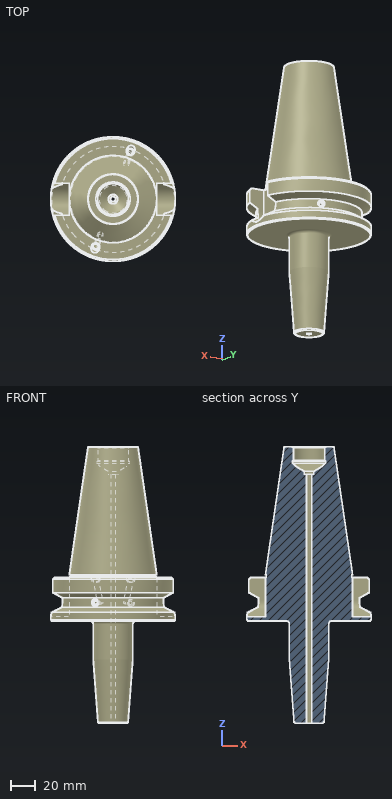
import cadquery as cq
import math


TOTAL_LENGTH = 221.8
TAPER_LENGTH = 101.8
GAUGE_RADIUS = 35.0
TAPER_RATIO = 7 / 24
TAPER_TOP_RADIUS = GAUGE_RADIUS - TAPER_LENGTH * TAPER_RATIO / 2
TAPER_TOP_CHAMFER = 0.5

RELIEF_DEPTH = 0.7

FLANGE_DIAMETER = 100.0
FLANGE_RADIUS = FLANGE_DIAMETER / 2
FLANGE_TOP = -2.9
FLANGE_BOTTOM = -38.0
FLANGE_TOP_CHAMFER = 1.5
FLANGE_BOTTOM_CHAMFER = 0.9
GROOVE_CENTER = -23.0
GROOVE_FLOOR_RADIUS = 42.5
GROOVE_FLOOR_WIDTH = 7.3
GROOVE_SIDE_ANGLE = 30.0
GROOVE_SIDE_RISE = (FLANGE_RADIUS - GROOVE_FLOOR_RADIUS) * math.tan(math.radians(GROOVE_SIDE_ANGLE))
GROOVE_FLOOR_HALF = GROOVE_FLOOR_WIDTH / 2
GROOVE_MOUTH_HALF = GROOVE_FLOOR_HALF + GROOVE_SIDE_RISE

SHANK_RADIUS = 16.0
SHANK_FILLET = 2.5
NOSE_CONE_TOP = -68.8
NOSE_RADIUS = 12.2
NOSE_CHAMFER = 1.0
NOSE_END = TAPER_LENGTH - TOTAL_LENGTH

SLOT_HALF_WIDTH = 12.9
SLOT_FLOOR_X = 35.0
SLOT_BOTTOM = -34.2

BORE_RADIUS = 12.5
BORE_MOUTH_WIDTH = 1.3
BORE_MOUTH_DEPTH = 0.7
BORE_DEPTH = 13.8
BORE_STEP_RADIUS = 10.6
BORE_RELIEF_LENGTH = 2.9
BORE_RELIEF_DEPTH = 0.7
PILOT_RADIUS = 3.8
PILOT_DEPTH = 2.2
BORE_TIP_ANGLE = 118.0
THROUGH_RADIUS = 2.0

CHANNEL_DIRECTIONS = (70.0, 250.0)
CHANNEL_RADIAL_PLACE = 41.7
CHANNEL_TILT = 30.0
CHANNEL_RADIUS = 2.2
CHANNEL_MOUTH_RADIUS = 3.3
CHANNEL_MOUTH_DEPTH = 2.7
GROOVE_HOLE_RADIUS = 1.3
GROOVE_HOLE_MOUTH_RADIUS = 2.7
GROOVE_HOLE_MOUTH_DEPTH = 2.2


def make_body():
    end_face_radius = NOSE_RADIUS - NOSE_CHAMFER
    return (
        cq.Workplane("XZ")
        .moveTo(0, TAPER_LENGTH)
        .lineTo(TAPER_TOP_RADIUS - TAPER_TOP_CHAMFER, TAPER_LENGTH)
        .lineTo(TAPER_TOP_RADIUS, TAPER_LENGTH - TAPER_TOP_CHAMFER)
        .lineTo(GAUGE_RADIUS, 0)
        .lineTo(GAUGE_RADIUS, -RELIEF_DEPTH)
        .lineTo(GAUGE_RADIUS - RELIEF_DEPTH, -2 * RELIEF_DEPTH)
        .lineTo(GAUGE_RADIUS - RELIEF_DEPTH, FLANGE_TOP + RELIEF_DEPTH)
        .lineTo(GAUGE_RADIUS, FLANGE_TOP)
        .lineTo(FLANGE_RADIUS - FLANGE_TOP_CHAMFER, FLANGE_TOP)
        .lineTo(FLANGE_RADIUS, FLANGE_TOP - FLANGE_TOP_CHAMFER)
        .lineTo(FLANGE_RADIUS, GROOVE_CENTER + GROOVE_MOUTH_HALF)
        .lineTo(GROOVE_FLOOR_RADIUS, GROOVE_CENTER + GROOVE_FLOOR_HALF)
        .lineTo(GROOVE_FLOOR_RADIUS, GROOVE_CENTER - GROOVE_FLOOR_HALF)
        .lineTo(FLANGE_RADIUS, GROOVE_CENTER - GROOVE_MOUTH_HALF)
        .lineTo(FLANGE_RADIUS, FLANGE_BOTTOM + FLANGE_BOTTOM_CHAMFER)
        .lineTo(FLANGE_RADIUS - FLANGE_BOTTOM_CHAMFER, FLANGE_BOTTOM)
        .lineTo(SHANK_RADIUS + SHANK_FILLET, FLANGE_BOTTOM)
        .radiusArc((SHANK_RADIUS, FLANGE_BOTTOM - SHANK_FILLET), -SHANK_FILLET)
        .lineTo(SHANK_RADIUS, NOSE_CONE_TOP)
        .lineTo(NOSE_RADIUS, NOSE_END + NOSE_CHAMFER)
        .lineTo(end_face_radius, NOSE_END)
        .lineTo(0, NOSE_END)
        .close()
        .revolve(360, (0, 0, 0), (0, 1, 0))
    )


def make_bore():
    bore_bottom = TAPER_LENGTH - BORE_DEPTH
    step_bottom = bore_bottom - (BORE_RADIUS - BORE_STEP_RADIUS)
    tip_half_angle = math.radians(BORE_TIP_ANGLE / 2)
    tip_bottom = step_bottom - (BORE_STEP_RADIUS - PILOT_RADIUS) / math.tan(tip_half_angle)
    pilot_bottom = tip_bottom - PILOT_DEPTH
    return (
        cq.Workplane("XZ")
        .moveTo(0, TAPER_LENGTH)
        .lineTo(BORE_RADIUS + BORE_MOUTH_WIDTH, TAPER_LENGTH)
        .lineTo(BORE_RADIUS, TAPER_LENGTH - BORE_MOUTH_DEPTH)
        .lineTo(BORE_RADIUS, bore_bottom + BORE_RELIEF_LENGTH)
        .lineTo(BORE_RADIUS + BORE_RELIEF_DEPTH, bore_bottom + BORE_RELIEF_LENGTH - BORE_RELIEF_DEPTH)
        .lineTo(BORE_RADIUS + BORE_RELIEF_DEPTH, bore_bottom + BORE_RELIEF_DEPTH)
        .lineTo(BORE_RADIUS, bore_bottom)
        .lineTo(BORE_STEP_RADIUS, step_bottom)
        .lineTo(PILOT_RADIUS, tip_bottom)
        .lineTo(PILOT_RADIUS, pilot_bottom)
        .lineTo(THROUGH_RADIUS, pilot_bottom)
        .lineTo(THROUGH_RADIUS, NOSE_END)
        .lineTo(0, NOSE_END)
        .close()
        .revolve(360, (0, 0, 0), (0, 1, 0))
    )


def make_drive_slot(side):
    """Round-bottomed slot open to the flange face, on the side given by the sign of X."""
    arc_center = SLOT_BOTTOM + SLOT_HALF_WIDTH
    depth = FLANGE_RADIUS - SLOT_FLOOR_X
    slot = (
        cq.Workplane("YZ", origin=(SLOT_FLOOR_X, 0, 0))
        .moveTo(-SLOT_HALF_WIDTH, FLANGE_TOP)
        .lineTo(-SLOT_HALF_WIDTH, arc_center)
        .threePointArc((0, SLOT_BOTTOM), (SLOT_HALF_WIDTH, arc_center))
        .lineTo(SLOT_HALF_WIDTH, FLANGE_TOP)
        .close()
        .extrude(depth)
    )
    return slot if side > 0 else slot.mirror("YZ")


def rod(radius, start, direction, length):
    return cq.Workplane(cq.Solid.makeCylinder(radius, length, cq.Vector(*start), cq.Vector(*direction)))


def make_coolant_channel(angle):
    """Stepped hole leaning inward from the flange face, joined by a radial hole in the groove."""
    tilt = math.radians(CHANNEL_TILT)
    drop = FLANGE_TOP - GROOVE_CENTER
    overrun = CHANNEL_MOUTH_RADIUS
    axis = (-math.sin(tilt), 0, -math.cos(tilt))
    start = (
        CHANNEL_RADIAL_PLACE - overrun * axis[0],
        0,
        FLANGE_TOP - overrun * axis[2],
    )
    mouth = rod(CHANNEL_MOUTH_RADIUS, start, axis, overrun + CHANNEL_MOUTH_DEPTH)
    channel = rod(CHANNEL_RADIUS, start, axis, overrun + drop / math.cos(tilt))
    junction_radius = CHANNEL_RADIAL_PLACE - drop * math.tan(tilt)
    hole_start = (junction_radius, 0, GROOVE_CENTER)
    hole = rod(GROOVE_HOLE_RADIUS, hole_start, (1, 0, 0), FLANGE_RADIUS - junction_radius)
    hole_mouth_start = (GROOVE_FLOOR_RADIUS - GROOVE_HOLE_MOUTH_DEPTH, 0, GROOVE_CENTER)
    hole_mouth_length = FLANGE_RADIUS - hole_mouth_start[0]
    hole_mouth = rod(GROOVE_HOLE_MOUTH_RADIUS, hole_mouth_start, (1, 0, 0), hole_mouth_length)
    cutter = mouth.union(channel).union(hole).union(hole_mouth)
    return cutter.rotate((0, 0, 0), (0, 0, 1), angle)


result = make_body().cut(make_bore())
for slot_side in (-1, 1):
    result = result.cut(make_drive_slot(slot_side))
for channel_angle in CHANNEL_DIRECTIONS:
    result = result.cut(make_coolant_channel(channel_angle))